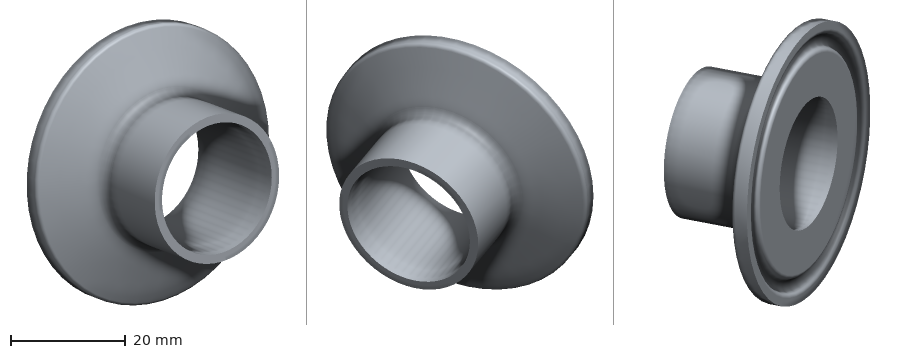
import cadquery as cq
import math

length = 21.5
flange_radius = 50.5 / 2
tube_radius = 26.9 / 2
bore_radius = 23.7 / 2

rim_thickness = 2.84
taper_angle = math.radians(20)
rim_round = 0.8
neck_fillet = 2.0

groove_mid_radius = 43.5 / 2
groove_half_width = 2.0
groove_wall_angle = math.radians(67)
groove_lip_round = 0.8
groove_floor_round = 1.2


def polar(center, radius, angle):
    """Point (x, r) on a circle, with the angle measured from +X towards +r."""
    return (center[0] + radius * math.cos(angle), center[1] + radius * math.sin(angle))


def revolve_profile(profile):
    """Turn a closed (x, r) profile a full revolution about the X axis."""
    return profile.close().revolve(360, (0, 0, 0), (1, 0, 0))


def make_body():
    """Flange, tapered back face, neck fillet and bored tube."""
    slope = math.tan(taper_angle)
    normal_run = 1 / math.cos(taper_angle)

    rim_center_r = flange_radius - rim_round
    rim_center_x = rim_thickness + rim_round * slope - rim_round * normal_run
    rim_center = (rim_center_x, rim_center_r)

    neck_center_r = tube_radius + neck_fillet
    neck_center_x = rim_thickness + (flange_radius - neck_center_r) * slope + neck_fillet * normal_run
    neck_center = (neck_center_x, neck_center_r)

    neck_start = math.pi + taper_angle
    neck_end = 1.5 * math.pi

    profile = (
        cq.Workplane("XY")
        .moveTo(0, bore_radius)
        .lineTo(0, flange_radius)
        .lineTo(rim_center_x, flange_radius)
        .threePointArc(
            polar(rim_center, rim_round, (taper_angle + math.pi / 2) / 2),
            polar(rim_center, rim_round, taper_angle),
        )
        .lineTo(*polar(neck_center, neck_fillet, neck_start))
        .threePointArc(
            polar(neck_center, neck_fillet, (neck_start + neck_end) / 2),
            (neck_center_x, tube_radius),
        )
        .lineTo(length, tube_radius)
        .lineTo(length, bore_radius)
    )
    return revolve_profile(profile)


def make_groove():
    """Ring cut from the sealing face: rounded lips, sloped walls, round floor."""
    sine = math.sin(groove_wall_angle)
    cosine = math.cos(groove_wall_angle)
    half_angle = groove_wall_angle / 2

    lip_offset = groove_half_width - groove_lip_round * sine
    lip_depth = groove_lip_round * (1 - cosine)
    lip_mid_offset = groove_half_width - groove_lip_round * math.sin(half_angle)
    lip_mid_depth = groove_lip_round * (1 - math.cos(half_angle))
    floor_offset = groove_floor_round * sine
    wall_depth = (lip_offset - floor_offset) * math.tan(groove_wall_angle)
    floor_start = lip_depth + wall_depth
    floor_depth = floor_start + groove_floor_round * (1 - cosine)

    def inner(depth, offset):
        return (depth, groove_mid_radius - offset)

    def outer(depth, offset):
        return (depth, groove_mid_radius + offset)

    profile = (
        cq.Workplane("XY")
        .moveTo(*inner(0, groove_half_width))
        .threePointArc(inner(lip_mid_depth, lip_mid_offset), inner(lip_depth, lip_offset))
        .lineTo(*inner(floor_start, floor_offset))
        .threePointArc((floor_depth, groove_mid_radius), outer(floor_start, floor_offset))
        .lineTo(*outer(lip_depth, lip_offset))
        .threePointArc(outer(lip_mid_depth, lip_mid_offset), outer(0, groove_half_width))
    )
    return revolve_profile(profile)


result = make_body().cut(make_groove())